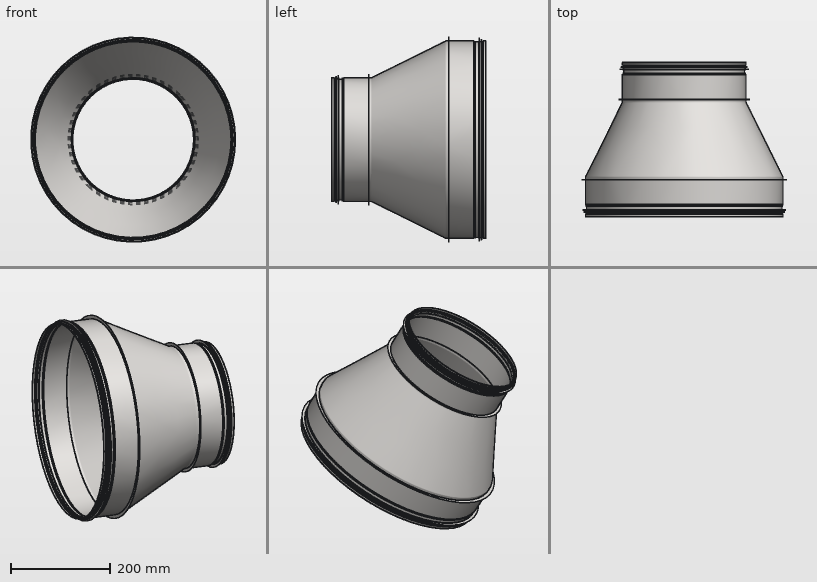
import cadquery as cq

LENGTH = 312.0

LARGE_COLLAR = 399.0
LARGE_SHOULDER = 396.5
LARGE_GROOVE = 395.0
LARGE_INNER_LIP = 409.0
LARGE_OUTER_LIP_HIGH = 404.0
LARGE_OUTER_LIP_LOW = 402.0
LARGE_FLANGE = 413.3

SMALL_COLLAR = 250.0
SMALL_SHOULDER = 247.5
SMALL_GROOVE = 244.2
SMALL_INNER_LIP = 259.0
SMALL_OUTER_LIP_HIGH = 254.0
SMALL_OUTER_LIP_LOW = 252.0
SMALL_FLANGE = 263.0

WALL = 0.6

SHOULDER_START = 5.8
GROOVE_START = 8.3
GROOVE_END = 21.5
SHOULDER_END = 24.0
COLLAR_START = 25.2
SEAM = 75.2
CONE_START = 81.0

LEAD_IN_LENGTH = 1.2
LEAD_IN_DEPTH = 0.5

BEND_RADIUS = 3.0

OUTER_LIP_START = 8.5
OUTER_LIP_TIP = 9.5
OUTER_LIP_END = 10.7
INNER_LIP_START = 13.5
INNER_LIP_END = 15.0
GASKET_END = 15.3


def revolve_about_y(points):
    """Revolve a closed outline of (radius, y) points about the Y axis."""
    return cq.Workplane("XY").polyline(points).close().revolve(360, (0, 0, 0), (0, 1, 0))


def at_height(y):
    """Selector for the circular edges centred on the axis at height y."""
    reach = 0.05
    return cq.selectors.BoxSelector((-reach, y - reach, -reach), (reach, y + reach, reach))


def place_at_small_end(body):
    """Turn an end part round so that its mouth lies at the far end of the reducer."""
    return body.mirror("XZ").translate((0, LENGTH, 0))


def grooved_face(collar_radius, shoulder_radius, groove_radius, inset):
    """Points of the collar face lying `inset` inside the outer face of the sheet."""
    return [
        (collar_radius - LEAD_IN_DEPTH - inset, 0),
        (collar_radius - inset, LEAD_IN_LENGTH),
        (collar_radius - inset, SHOULDER_START - inset),
        (shoulder_radius - inset, SHOULDER_START - inset),
        (shoulder_radius - inset, GROOVE_START - inset),
        (groove_radius - inset, GROOVE_START - inset),
        (groove_radius - inset, GROOVE_END + inset),
        (shoulder_radius - inset, GROOVE_END + inset),
        (shoulder_radius - inset, SHOULDER_END + inset),
        (collar_radius - inset, COLLAR_START + inset),
    ]


def make_collar(collar_dia, shoulder_dia, groove_dia, flange_dia):
    """Grooved sheet sleeve with its mouth at Y = 0 and a seam flange at the other end."""
    radii = (collar_dia / 2, shoulder_dia / 2, groove_dia / 2)
    flange_radius = flange_dia / 2
    outer_face = grooved_face(*radii, 0)
    inner_face = grooved_face(*radii, WALL)
    flange = [
        (collar_dia / 2, SEAM - WALL),
        (flange_radius, SEAM - WALL),
        (flange_radius, SEAM),
        (collar_dia / 2 - WALL, SEAM),
    ]
    return revolve_about_y(outer_face + flange + inner_face[::-1])


def make_gasket(shoulder_dia, groove_dia, inner_lip_dia, outer_lip_high_dia, outer_lip_low_dia):
    """Ring seated in the groove, flush with its shoulder, with two sealing lips.

    The tip of the lip nearer the mouth slopes down towards the mouth.
    """
    base_radius = shoulder_dia / 2
    groove_radius = groove_dia / 2
    inner_lip_radius = inner_lip_dia / 2
    outer_lip_high_radius = outer_lip_high_dia / 2
    outer_lip_low_radius = outer_lip_low_dia / 2
    return revolve_about_y([
        (groove_radius, GROOVE_START),
        (base_radius, GROOVE_START),
        (base_radius, OUTER_LIP_START),
        (outer_lip_low_radius, OUTER_LIP_START),
        (outer_lip_high_radius, OUTER_LIP_TIP),
        (outer_lip_high_radius, OUTER_LIP_END),
        (base_radius, OUTER_LIP_END),
        (base_radius, INNER_LIP_START),
        (inner_lip_radius, INNER_LIP_START),
        (inner_lip_radius, INNER_LIP_END),
        (base_radius, INNER_LIP_END),
        (base_radius, GASKET_END),
        (groove_radius, GASKET_END),
    ])


def make_cone():
    """Sheet cone with a short straight neck and a seam flange at each end."""
    large_radius = LARGE_COLLAR / 2
    small_radius = SMALL_COLLAR / 2
    small_seam = LENGTH - SEAM
    small_cone_end = LENGTH - CONE_START
    sharp_cone = revolve_about_y([
        (LARGE_FLANGE / 2, SEAM),
        (LARGE_FLANGE / 2, SEAM + WALL),
        (large_radius, SEAM + WALL),
        (large_radius, CONE_START),
        (small_radius, small_cone_end),
        (small_radius, small_seam - WALL),
        (SMALL_FLANGE / 2, small_seam - WALL),
        (SMALL_FLANGE / 2, small_seam),
        (small_radius - WALL, small_seam),
        (small_radius - WALL, small_cone_end),
        (large_radius - WALL, CONE_START),
        (large_radius - WALL, SEAM),
    ])
    large_bend = sharp_cone.edges(at_height(CONE_START))
    small_bend = sharp_cone.edges(at_height(small_cone_end))
    return large_bend.add(small_bend).fillet(BEND_RADIUS)


cone = make_cone()
large_collar = make_collar(LARGE_COLLAR, LARGE_SHOULDER, LARGE_GROOVE, LARGE_FLANGE)
large_gasket = make_gasket(
    LARGE_SHOULDER, LARGE_GROOVE, LARGE_INNER_LIP, LARGE_OUTER_LIP_HIGH, LARGE_OUTER_LIP_LOW
)
small_collar = place_at_small_end(
    make_collar(SMALL_COLLAR, SMALL_SHOULDER, SMALL_GROOVE, SMALL_FLANGE)
)
small_gasket = place_at_small_end(
    make_gasket(
        SMALL_SHOULDER, SMALL_GROOVE, SMALL_INNER_LIP, SMALL_OUTER_LIP_HIGH, SMALL_OUTER_LIP_LOW
    )
)

result = cq.Compound.makeCompound([
    cone.val(),
    large_collar.val(),
    large_gasket.val(),
    small_collar.val(),
    small_gasket.val(),
])